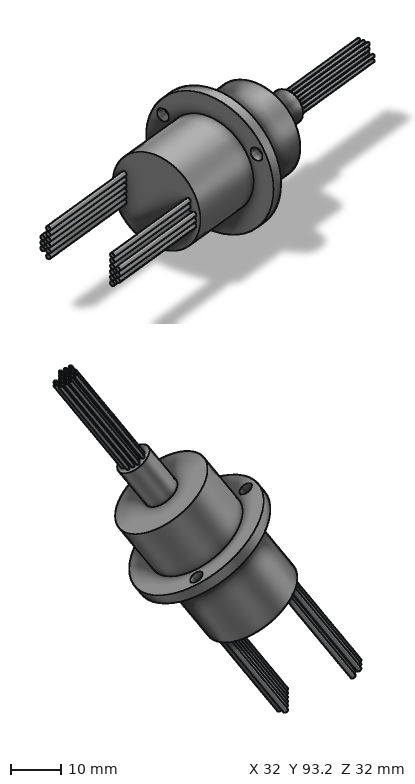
import cadquery as cq
import math

flange_diameter = 32.0
flange_thickness = 2.5
body_diameter = 22.0
front_body_length = 17.5
rear_body_length = 12.9

sleeve_diameter = 7.7
sleeve_length = 10.3

hole_diameter = 3.0
hole_circle_radius = 13.5
hole_angles = (30, 150, 270)

total_length = 93.25
front_wire_length = 25.1
front_wire_diameter = 1.1
inner_column_count = 6
inner_column_height = 6.7
front_wire_pitch = inner_column_height / (inner_column_count - 1)
inner_column_x = 8.0
inner_column_bottom_z = -3.3
outer_column_count = 3
outer_column_x = 9.4
outer_column_bottom_z = -2.0

rear_wire_diameter = 0.7
rear_bundle_width = 4.8
rear_middle_columns = (-1, 0, 1)
rear_middle_rows = (-2, -1, 0, 1, 2)
rear_side_columns = (-2, 2)
rear_side_rows = (-1, 0)
rear_wire_pitch = rear_bundle_width / (len(rear_middle_rows) - 1)

front_face_y = -front_body_length
flange_back_y = flange_thickness
rear_face_y = flange_back_y + rear_body_length
sleeve_end_y = rear_face_y + sleeve_length
front_wire_end_y = front_face_y - front_wire_length
rear_wire_end_y = front_wire_end_y + total_length


def rods(points, diameter, start_y, end_y):
    """Round bars along Y, one centred on each (x, z) point."""
    plane = cq.Plane(origin=(0, start_y, 0), xDir=(1, 0, 0), normal=(0, -1, 0))
    return cq.Workplane(plane).pushPoints(points).circle(diameter / 2).extrude(start_y - end_y)


def front_wire_points():
    points = []
    for side in (-1, 1):
        for row in range(inner_column_count):
            points.append((side * inner_column_x, inner_column_bottom_z + row * front_wire_pitch))
        for row in range(outer_column_count):
            points.append((side * outer_column_x, outer_column_bottom_z + row * front_wire_pitch))
    return points


def rear_wire_points():
    cells = [(column, row) for column in rear_middle_columns for row in rear_middle_rows]
    cells += [(column, row) for column in rear_side_columns for row in rear_side_rows]
    return [(column * rear_wire_pitch, row * rear_wire_pitch) for column, row in cells]


def mounting_hole_points():
    points = []
    for angle in hole_angles:
        radians = math.radians(angle)
        points.append((hole_circle_radius * math.cos(radians), hole_circle_radius * math.sin(radians)))
    return points


axis = [(0, 0)]
flange = rods(axis, flange_diameter, 0, flange_back_y)
flange = flange.cut(rods(mounting_hole_points(), hole_diameter, 0, flange_back_y))
body = rods(axis, body_diameter, front_face_y, rear_face_y)
sleeve = rods(axis, sleeve_diameter, rear_face_y, sleeve_end_y)
front_wires = rods(front_wire_points(), front_wire_diameter, front_face_y, front_wire_end_y)
rear_wires = rods(rear_wire_points(), rear_wire_diameter, sleeve_end_y, rear_wire_end_y)

result = flange.union(body).union(sleeve).union(front_wires).union(rear_wires)